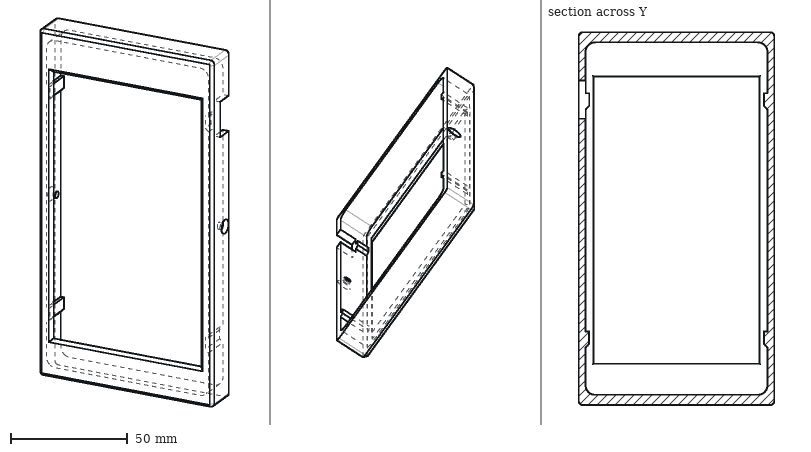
import cadquery as cq

width = 84.0
depth = 15.0
height = 160.0
wall = 3.0
end_wall = 4.5
front_thickness = 1.5
corner_radius = 2.0
cavity_radius = 4.0
front_chamfer = 1.5
front_y = -depth / 2
rear_y = depth / 2

window_width = 71.0
window_height = 123.0
window_z = -0.6
window_bevel = front_thickness

rib_height = 5.5
rib_projection = 1.5
rib_z = 51.0

notch_height = 16.3
notch_depth = 8.0

hole_y = 3.8
hole_diameter = 3.0
countersink_diameter = 6.4

inner_half_width = width / 2 - wall
cavity_depth = depth - front_thickness


def make_shell():
    body = cq.Workplane("XY").box(width, depth, height)
    body = body.edges("|Y").fillet(corner_radius)
    body = body.faces("<Y").chamfer(front_chamfer)
    cavity = cq.Workplane("XY").box(2 * inner_half_width, cavity_depth, height - 2 * end_wall)
    cavity = cavity.edges("|Y").fillet(cavity_radius)
    return body.cut(cavity.translate((0, front_thickness / 2, 0)))


def make_window():
    """Rectangular opening that widens at 45 degrees towards the front face."""
    return (
        cq.Workplane("XZ", origin=(0, front_y, window_z))
        .rect(window_width + 2 * window_bevel, window_height + 2 * window_bevel)
        .workplane(offset=-front_thickness)
        .rect(window_width, window_height)
        .loft(ruled=True)
    )


def make_rib(side, z):
    """Rib along Y with a flat top and a 45 degree underside."""
    root = side * inner_half_width
    tip = side * (inner_half_width - rib_projection)
    top = z + rib_height / 2
    bottom = z - rib_height / 2
    profile = [(root, top), (tip, top), (tip, bottom), (root, bottom - rib_projection)]
    return cq.Workplane("XZ", origin=(0, rear_y, 0)).polyline(profile).close().extrude(cavity_depth)


def make_notch():
    notch_width = wall + rib_projection
    notch = cq.Workplane("XY").box(notch_width, notch_depth, notch_height)
    return notch.translate((width / 2 - notch_width / 2, rear_y - notch_depth / 2, rib_z))


def make_screw_hole(side):
    """Through hole with a 90 degree countersink on the outside."""
    outside = cq.Vector(side * width / 2, hole_y, 0)
    inward = cq.Vector(-side, 0, 0)
    drill = cq.Solid.makeCylinder(hole_diameter / 2, wall, outside, inward)
    sink_depth = (countersink_diameter - hole_diameter) / 2
    sink = cq.Solid.makeCone(countersink_diameter / 2, hole_diameter / 2, sink_depth, outside, inward)
    return drill.fuse(sink)


result = make_shell().cut(make_window())
for side in (-1, 1):
    for z in (-rib_z, rib_z):
        result = result.union(make_rib(side, z))
    result = result.cut(cq.Workplane(make_screw_hole(side)))
result = result.cut(make_notch())